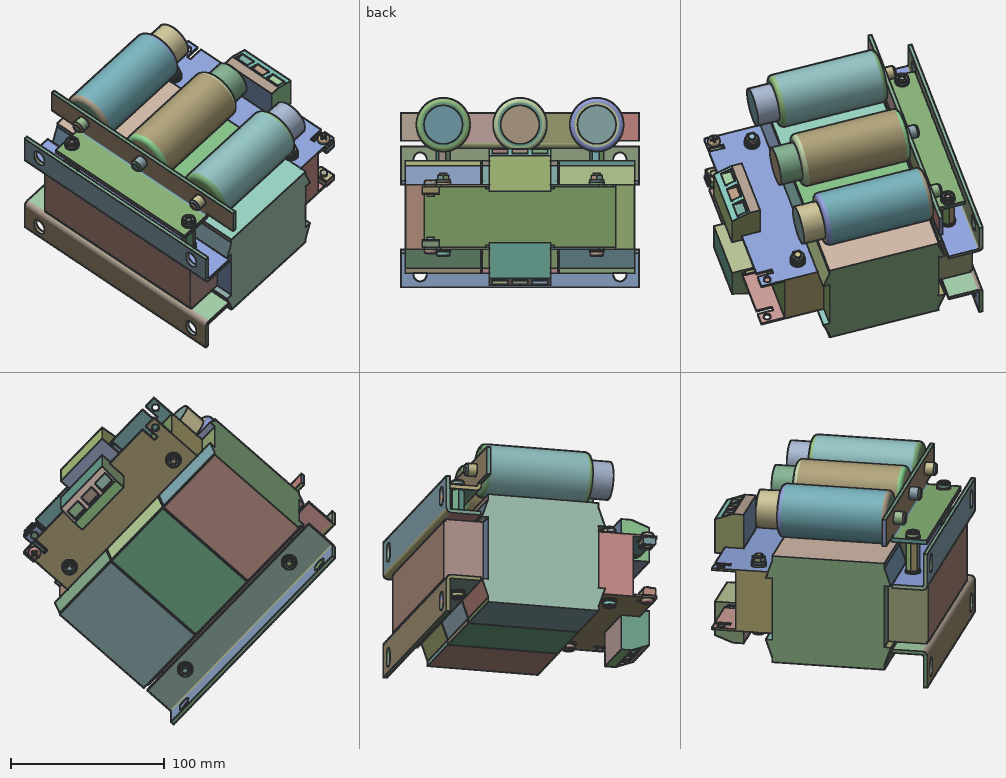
import cadquery as cq


pitch = 49.9
coil_gap = 1.0
coil_span_x = 149.1
coil_half_y = 37.2
coil_half_z = 36.6
horn_tip_y = 41.5
horn_top_z = 33.3

yoke_width = 124.6
yoke_half_z = 19.7
yoke_outer_y = 64.0
sheet = 1.4
sheet_half_z = yoke_half_z + sheet
front_sheet_y = -62.8
rear_sheet_y = 79.8

tab_hole_x = 58.1
tab_hole_y = 74.5
tab_hole_radius = 2.3
tab_slot_x = 52.9
tab_slot_width = 3.0
tab_slot_depth = 10.5

overall_width = 155.0
bracket_thick = 2.5
bracket_front_y = -66.3
bracket_back_y = -43.1
bracket_half_z = 45.9
outer_bend = 3.4
inner_bend = outer_bend - bracket_thick
mount_slot_x = 65.0
mount_slot_z = 35.6
mount_slot_width = 8.4
mount_slot_length = 12.4

cap_plate_back_y = -36.6
cap_plate_front_y = cap_plate_back_y - bracket_thick
cap_plate_top_z = 67.7
cap_plate_bottom_z = 49.5
cap_tab_width = 110.0
cap_tab_front_y = -61.4
cap_tab_bottom_z = 44.8
cap_tab_top_z = 47.6

cap_z = 60.0
cap_radius = 17.5
cap_rear_y = 36.1
cap_edge = 3.1
neck_radius = 12.5
neck_rear_y = 50.7
stud_radius = 4.2
stud_front_y = -46.3
stud_chamfer = 1.2

bolt_y = 51.2
washer_radius = 5.0
lock_washer_radius = 4.6
washer_thick = 0.8
nut_washer_thick = 1.5
head_radius = 4.2
head_height = 3.1
head_chamfer = 0.8
socket_width = 4.5
socket_turn = 0
socket_depth = 1.9
pillar_width = 9.0
pillar_turn = -8
nut_width = 8.5
nut_turn = 30
nut_height = 2.8
bolt_radius = 2.3
bolt_end_z = 28.4

terminal_width = 39.7
terminal_front_y = 67.5
terminal_rear_y = 86.5
terminal_inner_z = 16.7
terminal_outer_z = 44.3
terminal_bevel_y = 74.4
terminal_bevel_z = 39.8
window_pitch = 13.0
window_width = 9.9
window_front_y = 75.5
window_rear_y = 82.3
window_floor_z = 40.9
foot_length = 8.0
foot_tip_length = 6.5
foot_height = 1.2
foot_overhang = 2.3

clamp_width = 11.2
clamp_depth = 8.4
clamp_inner_z = 14.7
clamp_chamfer = 0.8
clamp_screw_end_z = 13.3
screw_head_radius = 4.0
screw_head_height = 2.8
screw_dome = 1.5
cross_length = 4.3
cross_width = 1.1
cross_depth = 1.2


def block(x0, x1, y0, y1, z0, z1):
    return cq.Workplane("XY").box(x1 - x0, y1 - y0, z1 - z0, centered=False).translate((x0, y0, z0))


def disc(x, y, z0, z1, radius):
    return cq.Workplane("XY", origin=(x, y, z0)).circle(radius).extrude(z1 - z0)


def hexagon(x, y, z0, z1, corner_width, turn):
    prism = cq.Workplane("XY").polygon(6, corner_width).extrude(z1 - z0)
    return prism.rotate((0, 0, 0), (0, 0, 1), turn).translate((x, y, z0))


def rod_along_y(x, z, y_rear, y_front, radius):
    return cq.Workplane("XZ", origin=(x, y_rear, z)).circle(radius).extrude(y_rear - y_front)


def extrude_along_x(points, width):
    return cq.Workplane("YZ").polyline(points).close().extrude(width / 2, both=True)


def round_bend(angle, outer_corner, inner_corner):
    for (y, z), radius in ((outer_corner, outer_bend), (inner_corner, inner_bend)):
        nearest = cq.selectors.NearestToPointSelector((0, y, z))
        angle = angle.edges("|X").edges(nearest).fillet(radius)
    return angle


def upside_down(body):
    return body.mirror("XY")


def coils():
    quarter = [
        (coil_half_y, sheet_half_z),
        (horn_tip_y, sheet_half_z),
        (coil_half_y, horn_top_z),
        (coil_half_y, coil_half_z),
    ]
    right_side = [(y, -z) for y, z in reversed(quarter)] + quarter
    left_side = [(-y, -z) for y, z in right_side]
    body = extrude_along_x(right_side + left_side, coil_span_x)
    for x in (-pitch / 2, pitch / 2):
        body = body.cut(block(x - coil_gap / 2, x + coil_gap / 2, -horn_tip_y, horn_tip_y,
                              -coil_half_z, coil_half_z))
    return body


def yoke_and_channel(side, sheet_end_y):
    """Yoke on one side (+1 rear, -1 front) with the U-shaped sheet around it."""
    half = yoke_width / 2
    wall = side * coil_half_y
    yoke = extrude_along_x([(wall, -yoke_half_z), (side * yoke_outer_y, -yoke_half_z),
                            (side * yoke_outer_y, yoke_half_z), (wall, yoke_half_z)], yoke_width)
    y0, y1 = sorted((wall, sheet_end_y))
    for z in (-sheet_half_z, yoke_half_z):
        yoke = yoke.union(block(-half, half, y0, y1, z, z + sheet))
    return yoke


def corner_tab_cuts():
    cuts = cq.Workplane("XY")
    for side in (-1, 1):
        x = side * tab_slot_x
        cuts = cuts.add(block(x - tab_slot_width / 2, x + tab_slot_width / 2,
                              rear_sheet_y - tab_slot_depth, rear_sheet_y,
                              -sheet_half_z, sheet_half_z))
        cuts = cuts.add(disc(side * tab_hole_x, tab_hole_y, -sheet_half_z, sheet_half_z, tab_hole_radius))
    return cuts.combine()


def mounting_bracket():
    top_of_base = sheet_half_z + bracket_thick
    inner_y = bracket_front_y + bracket_thick
    angle = extrude_along_x([
        (bracket_back_y, sheet_half_z),
        (bracket_front_y, sheet_half_z),
        (bracket_front_y, bracket_half_z),
        (inner_y, bracket_half_z),
        (inner_y, top_of_base),
        (bracket_back_y, top_of_base),
    ], overall_width)
    angle = round_bend(angle, (bracket_front_y, sheet_half_z), (inner_y, top_of_base))
    slots = (
        cq.Workplane("XZ", origin=(0, inner_y, mount_slot_z))
        .pushPoints([(-mount_slot_x, 0), (mount_slot_x, 0)])
        .slot2D(mount_slot_length, mount_slot_width, 90)
        .extrude(bracket_thick)
    )
    return angle.cut(slots)


def capacitor_bracket():
    angle = extrude_along_x([
        (cap_plate_back_y, cap_plate_top_z),
        (cap_plate_back_y, cap_tab_bottom_z),
        (cap_tab_front_y, cap_tab_bottom_z),
        (cap_tab_front_y, cap_tab_top_z),
        (cap_plate_front_y, cap_tab_top_z),
        (cap_plate_front_y, cap_plate_top_z),
    ], cap_tab_width)
    angle = round_bend(angle, (cap_plate_back_y, cap_tab_bottom_z), (cap_plate_front_y, cap_tab_top_z))
    return angle.union(block(-overall_width / 2, overall_width / 2, cap_plate_front_y, cap_plate_back_y,
                             cap_plate_bottom_z, cap_plate_top_z))


def capacitor(x):
    can = rod_along_y(x, cap_z, cap_rear_y, cap_plate_back_y, cap_radius).edges().fillet(cap_edge)
    neck = rod_along_y(x, cap_z, neck_rear_y, cap_rear_y, neck_radius)
    stud = rod_along_y(x, cap_z, cap_plate_back_y, stud_front_y, stud_radius)
    stud = stud.faces("<Y").chamfer(stud_chamfer)
    return can.union(neck).union(stud)


def socket_head(x, y, seat_z):
    """Socket-head screw with its washer, standing on seat_z."""
    washer = disc(x, y, seat_z, seat_z + washer_thick, lock_washer_radius)
    top = seat_z + washer_thick + head_height
    head = disc(x, y, seat_z + washer_thick, top, head_radius).faces(">Z").chamfer(head_chamfer)
    socket = hexagon(x, y, top - socket_depth, top, socket_width, socket_turn)
    return washer.union(head).cut(socket)


def washer_pair(x, y, seat_z, thick):
    flat = disc(x, y, seat_z, seat_z + thick, washer_radius)
    lock_seat = seat_z + thick
    return flat.union(disc(x, y, lock_seat, lock_seat + thick, lock_washer_radius))


def standoff(x):
    """Hexagonal pillar carrying the capacitor bracket, with the screw on top."""
    seat = sheet_half_z + bracket_thick
    pillar = hexagon(x, -bolt_y, seat, cap_tab_bottom_z, pillar_width, pillar_turn)
    washers = washer_pair(x, -bolt_y, seat, washer_thick)
    return pillar.union(washers).union(socket_head(x, -bolt_y, cap_tab_top_z))


def nut_and_bolt_end(x):
    seat = sheet_half_z + 2 * nut_washer_thick
    nut = hexagon(x, bolt_y, seat, seat + nut_height, nut_width, nut_turn)
    bolt = disc(x, bolt_y, seat, bolt_end_z, bolt_radius)
    washers = washer_pair(x, bolt_y, sheet_half_z, nut_washer_thick)
    return washers.union(nut).union(bolt)


def lower_bolt_head(x, y, seat_z):
    """Bolt head with a flat washer hanging below a surface at -seat_z."""
    flat = disc(x, y, seat_z, seat_z + washer_thick, washer_radius)
    return upside_down(flat.union(socket_head(x, y, seat_z + washer_thick)))


def terminal_foot():
    """Low tapered strip that grips the sheet and peeks out at both ends of the terminal block."""
    tip_z = yoke_half_z - foot_height
    return extrude_along_x([
        (tab_hole_y - foot_length / 2, yoke_half_z),
        (tab_hole_y + foot_length / 2, yoke_half_z),
        (tab_hole_y + foot_tip_length / 2, tip_z),
        (tab_hole_y - foot_tip_length / 2, tip_z),
    ], terminal_width + 2 * foot_overhang)


def terminal_block():
    body = extrude_along_x([
        (terminal_front_y, terminal_inner_z),
        (terminal_rear_y, terminal_inner_z),
        (terminal_rear_y, terminal_bevel_z),
        (terminal_bevel_y, terminal_outer_z),
        (terminal_front_y, terminal_outer_z),
    ], terminal_width)
    for x in (-window_pitch, 0, window_pitch):
        body = body.cut(block(x - window_width / 2, x + window_width / 2, window_front_y, window_rear_y,
                              window_floor_z, terminal_outer_z))
    return body.union(terminal_foot())


def earth_clamp():
    clamp = block(tab_hole_x - clamp_width / 2, tab_hole_x + clamp_width / 2,
                  tab_hole_y - clamp_depth / 2, tab_hole_y + clamp_depth / 2, clamp_inner_z, yoke_half_z)
    clamp = clamp.faces("<Z").edges("|X").chamfer(clamp_chamfer)
    shank = disc(tab_hole_x, tab_hole_y, clamp_screw_end_z, sheet_half_z, tab_hole_radius)
    head_top = sheet_half_z + screw_head_height
    head = disc(tab_hole_x, tab_hole_y, sheet_half_z, head_top, screw_head_radius)
    head = head.faces(">Z").edges().fillet(screw_dome)
    recess_floor = cq.Workplane("XY", origin=(tab_hole_x, tab_hole_y, head_top - cross_depth))
    for size_x, size_y in ((cross_length, cross_width), (cross_width, cross_length)):
        head = head.cut(recess_floor.rect(size_x, size_y).extrude(cross_depth))
    return clamp.union(shank).union(head)


result = coils()
result = result.union(yoke_and_channel(-1, front_sheet_y))
result = result.union(yoke_and_channel(1, rear_sheet_y).cut(corner_tab_cuts()))

for part in (mounting_bracket(), terminal_block(), earth_clamp()):
    result = result.union(part).union(upside_down(part))

result = result.union(capacitor_bracket())
for x in (-pitch, 0, pitch):
    result = result.union(capacitor(x))

for x in (-pitch, pitch):
    result = result.union(standoff(x)).union(nut_and_bolt_end(x))
    result = result.union(lower_bolt_head(x, -bolt_y, sheet_half_z + bracket_thick))
    result = result.union(lower_bolt_head(x, bolt_y, sheet_half_z))